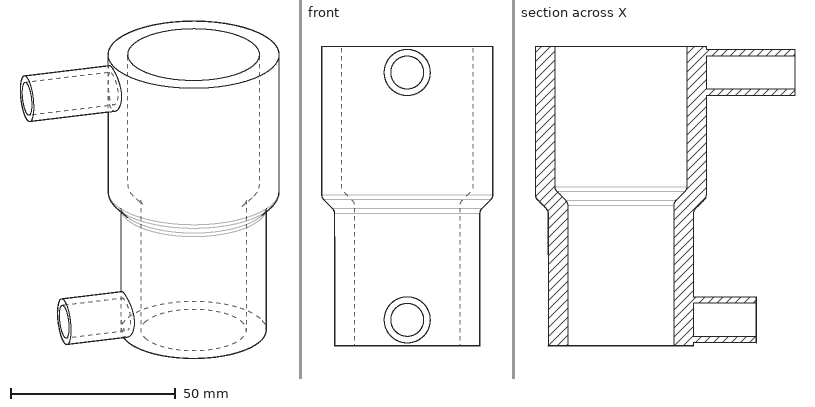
import cadquery as cq
import math

height = 91.0
upper_radius = 26.0
lower_radius = 22.1
upper_bore_radius = 20.0
lower_bore_radius = 16.0
shoulder_top = 45.0
shoulder_fillet = 2.0
cone_angle = 45.0

tube_radius = 7.0
tube_bore_radius = 5.0
tube_end_inset = 7.9
upper_tube_reach = 53.0
lower_tube_reach = 41.1

wall = upper_radius - upper_bore_radius
bore_shoulder_top = shoulder_top + wall * math.tan(math.radians(cone_angle) / 2)


def stepped_cylinder(top_radius, bottom_radius, cone_top):
    """Two-diameter round body with a filleted cone between the diameters."""
    cone_bottom = cone_top - (top_radius - bottom_radius) / math.tan(math.radians(cone_angle))
    body = (
        cq.Workplane("XZ")
        .polyline([
            (0, 0),
            (bottom_radius, 0),
            (bottom_radius, cone_bottom),
            (top_radius, cone_top),
            (top_radius, height),
            (0, height),
        ])
        .close()
        .revolve(360, (0, 0, 0), (0, 1, 0))
    )
    edge_margin = 0.9
    cone_edges = cq.selectors.BoxSelector(
        (-height, -height, cone_bottom - edge_margin),
        (height, height, cone_top + edge_margin),
    )
    return body.edges("%CIRCLE").edges(cone_edges).fillet(shoulder_fillet)


def side_rod(radius, reach, z):
    """Solid rod from the sleeve axis out to Y = -reach."""
    return cq.Workplane("XZ", origin=(0, 0, z)).circle(radius).extrude(reach)


def side_tube(reach, z):
    return side_rod(tube_radius, reach, z).cut(side_rod(tube_bore_radius, reach, z))


outer = stepped_cylinder(upper_radius, lower_radius, shoulder_top)
bore = stepped_cylinder(upper_bore_radius, lower_bore_radius, bore_shoulder_top)

upper_tube = side_tube(upper_tube_reach, height - tube_end_inset)
lower_tube = side_tube(lower_tube_reach, tube_end_inset)

result = outer.union(upper_tube).union(lower_tube).cut(bore)